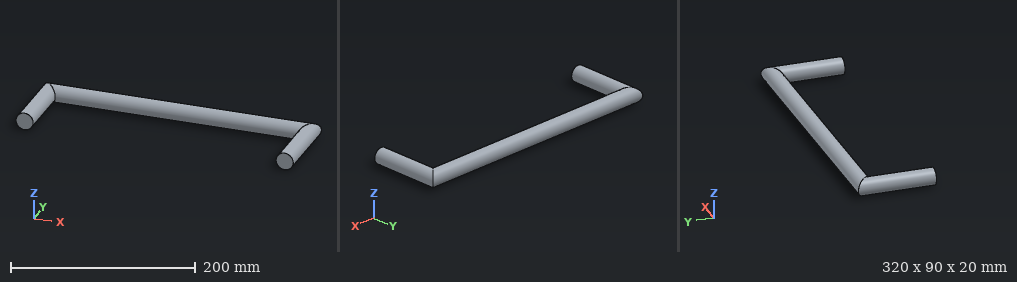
import cadquery as cq

overall_length = 320.0
bar_diameter = overall_length / 16
overall_depth = 90.0

bar_radius = bar_diameter / 2
leg_x = overall_length / 2 - bar_radius
grip_y = overall_depth - bar_radius

centreline = cq.Workplane("XY").polyline(
    [(-leg_x, 0), (-leg_x, grip_y), (leg_x, grip_y), (leg_x, 0)]
)

result = (
    cq.Workplane("XZ", origin=(-leg_x, 0, 0))
    .circle(bar_radius)
    .sweep(centreline, transition="right")
)